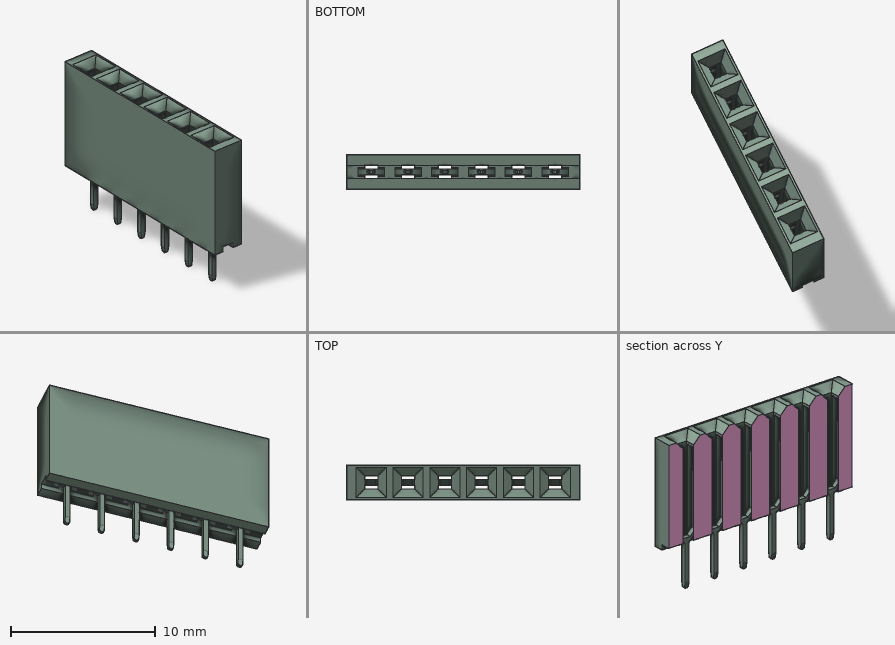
import cadquery as cq
import math

pin_count = 6
pitch = 2.54
housing_length = 16.1
housing_width = 2.4
housing_height = 8.3

funnel_size = 2.08
bore_size = 0.9
funnel_depth = (funnel_size - bore_size) / 2
channel_width = bore_size
channel_depth = 0.4
pocket_length = 1.84
pocket_width = 0.64
pocket_roof_below_funnel = 0.2

contact_thickness = 0.4
contact_span = pocket_length
tail_width = 0.35
tail_below_housing = 3.2
tip_length = 0.5
tip_thickness = 0.2
tip_chamfer = 0.1
shoulder_below_channel = 0.1
fork_floor_width = 0.56
arm_thickness = 0.2
shoulder_angle = math.radians(47.5)
arm_gap_to_pocket_roof = 2.0

funnel_bottom = housing_height - funnel_depth
pocket_roof = funnel_bottom - pocket_roof_below_funnel
shoulder_bottom = channel_depth - shoulder_below_channel
arm_top = pocket_roof - arm_gap_to_pocket_roof
tail_bottom = -tail_below_housing
tip_start = tail_bottom + tip_length

socket_positions = [(i - (pin_count - 1) / 2) * pitch for i in range(pin_count)]


def box_between(length, width, bottom, top):
    """Box centred on the Z axis, from one height to another."""
    return cq.Workplane("XY").workplane(offset=bottom).rect(length, width).extrude(top - bottom)


def make_socket_cutter():
    """Space of one socket: funnel mouth, square bore and the side pockets for the contact arms."""
    funnel = (
        cq.Workplane("XY")
        .workplane(offset=funnel_bottom)
        .rect(bore_size, bore_size)
        .workplane(offset=funnel_depth)
        .rect(funnel_size, funnel_size)
        .loft(ruled=True)
    )
    bore = box_between(bore_size, bore_size, 0, funnel_bottom)
    pockets = box_between(pocket_length, pocket_width, channel_depth, pocket_roof)
    return bore.union(pockets).union(funnel)


def make_housing():
    """Block with a row of sockets and a channel along its underside."""
    housing = box_between(housing_length, housing_width, 0, housing_height)
    housing = housing.cut(box_between(housing_length, channel_width, 0, channel_depth))
    socket_cutter = make_socket_cutter()
    for x in socket_positions:
        housing = housing.cut(socket_cutter.translate((x, 0, 0)))
    return housing


def make_contact():
    """Flat contact: a fork with sloped shoulders and upright arms, on a tail with a tapered tip."""
    half_tail = tail_width / 2
    half_span = contact_span / 2
    half_floor = fork_floor_width / 2
    slope = math.tan(shoulder_angle)
    half_gap = half_span - arm_thickness
    arm_bottom = shoulder_bottom + (half_span - half_tail) * slope
    shoulder_height = arm_thickness / math.cos(shoulder_angle)
    fork_floor = shoulder_bottom + (half_floor - half_tail) * slope + shoulder_height
    slope_top = fork_floor + (half_gap - half_floor) * slope
    right_side = [
        (half_tail - tip_chamfer, tail_bottom),
        (half_tail, tail_bottom + tip_chamfer),
        (half_tail, shoulder_bottom),
        (half_span, arm_bottom),
        (half_span, arm_top),
        (half_gap, arm_top),
        (half_gap, slope_top),
        (half_floor, fork_floor),
    ]
    left_side = [(-x, z) for x, z in reversed(right_side)]
    profile = (
        cq.Workplane("XZ")
        .polyline(right_side + left_side)
        .close()
        .extrude(contact_thickness / 2, both=True)
    )
    half_thickness = contact_thickness / 2
    half_tip = tip_thickness / 2
    tapered_side = (
        cq.Workplane("YZ")
        .polyline([
            (-half_tip, tail_bottom),
            (half_tip, tail_bottom),
            (half_thickness, tip_start),
            (half_thickness, arm_top),
            (-half_thickness, arm_top),
            (-half_thickness, tip_start),
        ])
        .close()
        .extrude(half_span, both=True)
    )
    return profile.intersect(tapered_side)


housing = make_housing()
contact = make_contact()
contacts = [contact.translate((x, 0, 0)) for x in socket_positions]

result = cq.Compound.makeCompound([housing.val()] + [placed.val() for placed in contacts])